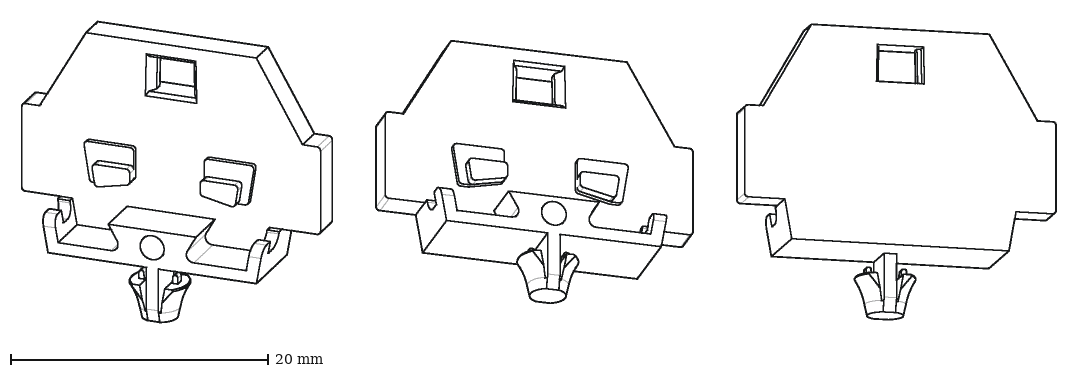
import cadquery as cq
import math

plate_width = 25.0
plate_thickness = 2.5
plate_bottom_z = 7.75
shoulder_z = 15.1
top_z = 21.8
shoulder_x = 11.0
roof_angle = 60.0
plate_corner_radius = 0.3
roof_x = shoulder_x - (top_z - shoulder_z) / math.tan(math.radians(roof_angle))

window_bottom_z = 17.25
window_top_z = 20.78
window_front_half = 2.15
window_throat_half = 1.6
window_back_half = 1.92
window_side_draft = 0.08
window_taper_depth = 0.98
window_step_depth = 1.68
window_sill_chamfer = 0.3

pad_height = 0.45
nub_height = 1.3
pad_top_z = 12.9
nub_top_z = 11.42
pad_bottom_z = 9.52
pad_inner_x = 2.95
pad_outer_x = 7.15
nub_outer_x = 6.15
pad_slope_start_x = 5.72
pad_side_lean = 9.0
pad_slope_angle = 12.5
pad_corner_radius = 0.3

shelf_depth = 4.0
shelf_bottom_z = 4.6
shelf_top_x = 9.28
shelf_side_lean = 10.0
shelf_wall = 1.02
pocket_floor_z = 5.58
dovetail_top_x = 3.68
dovetail_angle = 60.0
dovetail_radius = 0.6
blind_hole_diameter = 2.0
blind_hole_z = 6.32
blind_hole_depth = shelf_depth

wall_top_z = 7.62
wall_nose_radius = 0.82
notch_start = 0.55
notch_end = 2.4
notch_floor_z = 6.6
notch_radius = 0.98

post_half_x = 0.5
post_width_y = 3.32
post_y = -shelf_depth + post_width_y / 2
post_taper_z = 1.12
post_tip_width_y = 2.6
clip_tip_radius = 1.42
clip_waist_radius = 1.62
clip_waist_z = 0.9
flare_mid_radius = 1.92
flare_mid_z = 1.98
rim_radius = 2.4
rim_z = 2.9
rim_top_radius = 2.32
arm_top_z = 3.02
slot_bottom_z = 0.85
slot_bottom_half = 0.65
slot_top_half = 1.05
tab_outer_x = 1.62
tab_inner_x = 1.15
tab_lean = 0.088
tab_top_z = 3.72
tab_width_y = 0.72
tab_tip_radius = 0.18


def mirrored(solid):
    """The solid together with its mirror image across X = 0."""
    return solid.union(solid.mirror("YZ"))


def lean_offset(height, angle):
    """Sideways shift of a wall that leans by angle from vertical."""
    return height * math.tan(math.radians(angle))


def extrude_along_y(points, y_start, y_end):
    """Prism with an XZ outline, reaching from y_start to y_end."""
    plane = cq.Workplane("XZ", origin=(0, y_end, 0))
    return plane.polyline(points).close().extrude(y_end - y_start)


def make_plate():
    half = plate_width / 2
    right = [(half, plate_bottom_z), (half, shoulder_z), (shoulder_x, shoulder_z), (roof_x, top_z)]
    left = [(-x, z) for x, z in reversed(right)]
    plate = extrude_along_y(right + left, 0, plate_thickness)
    return plate.edges("|Y and (<X or >X)").fillet(plate_corner_radius)


def window_plan(inset):
    """Plan outline of the window sides, each side moved inward by inset."""
    right = [
        (window_front_half - inset, 0),
        (window_throat_half - inset, window_taper_depth),
        (window_throat_half - inset, window_step_depth),
        (window_back_half - inset, window_step_depth),
        (window_back_half - inset, plate_thickness),
    ]
    return right + [(-x, y) for x, y in reversed(right)]


def make_window():
    height = window_top_z - window_bottom_z
    sides = (
        cq.Workplane("XY", origin=(0, 0, window_bottom_z))
        .polyline(window_plan(0)).close()
        .workplane(offset=height)
        .polyline(window_plan(window_side_draft)).close()
        .loft(ruled=True)
    )
    inner_bottom = window_bottom_z + window_sill_chamfer
    inner_top = window_top_z - window_sill_chamfer
    profile = [
        (0, window_bottom_z),
        (window_sill_chamfer, inner_bottom),
        (plate_thickness, inner_bottom),
        (plate_thickness, inner_top),
        (window_sill_chamfer, inner_top),
        (0, window_top_z),
    ]
    sill_and_head = cq.Workplane("YZ").polyline(profile).close().extrude(window_front_half, both=True)
    return sides.intersect(sill_and_head)


def pad_block(outer_x, block_top_z, height):
    """Block with a leaning outer side and a bottom that rises toward the middle."""
    bottom_outer_x = outer_x - lean_offset(block_top_z - pad_bottom_z, pad_side_lean)
    slope_rise = (pad_slope_start_x - pad_inner_x) * math.tan(math.radians(pad_slope_angle))
    outline = [(pad_inner_x, block_top_z), (outer_x, block_top_z), (bottom_outer_x, pad_bottom_z)]
    if bottom_outer_x > pad_slope_start_x + pad_corner_radius:
        outline.append((pad_slope_start_x, pad_bottom_z))
    outline.append((pad_inner_x, pad_bottom_z + slope_rise))
    return extrude_along_y(outline, -height, 0)


def make_latch_pads():
    pad = pad_block(pad_outer_x, pad_top_z, pad_height)
    pad_slope_edge = cq.NearestToPointSelector((pad_slope_start_x, -pad_height / 2, pad_bottom_z))
    pad = pad.edges(cq.StringSyntaxSelector("|Y") - pad_slope_edge).fillet(pad_corner_radius)
    nub = pad_block(nub_outer_x, nub_top_z, nub_height)
    nub = nub.edges("|Y").fillet(pad_corner_radius)
    return mirrored(pad.union(nub))


def make_pocket():
    """Pocket between a side wall and the undercut flank of the dovetail."""
    depth = plate_bottom_z - pocket_floor_z
    top_outer_x = shelf_top_x - shelf_wall
    outline = [
        (dovetail_top_x, plate_bottom_z),
        (top_outer_x, plate_bottom_z),
        (top_outer_x - lean_offset(depth, shelf_side_lean), pocket_floor_z),
        (dovetail_top_x - depth / math.tan(math.radians(dovetail_angle)), pocket_floor_z),
    ]
    pocket = extrude_along_y(outline, -shelf_depth, 0)
    return pocket.edges("|Y and <X").fillet(dovetail_radius)


def make_wall_cutter():
    """Space above the notched profile of a side wall, outward from the dovetail."""
    notch_mid = notch_radius * (1 - math.sqrt(0.5))
    nose_mid = wall_nose_radius * (1 - math.sqrt(0.5))
    profile = (
        cq.Workplane("YZ", origin=(dovetail_top_x, 0, 0))
        .moveTo(-notch_start, plate_bottom_z)
        .lineTo(-notch_start, notch_floor_z + notch_radius)
        .threePointArc(
            (-notch_start - notch_mid, notch_floor_z + notch_mid),
            (-notch_start - notch_radius, notch_floor_z),
        )
        .lineTo(-notch_end, notch_floor_z)
        .lineTo(-notch_end, wall_top_z)
        .lineTo(-shelf_depth + wall_nose_radius, wall_top_z)
        .threePointArc(
            (-shelf_depth + nose_mid, wall_top_z - nose_mid),
            (-shelf_depth, wall_top_z - wall_nose_radius),
        )
        .lineTo(-shelf_depth, plate_bottom_z)
        .close()
    )
    return profile.extrude(shelf_top_x - dovetail_top_x)


def make_shelf():
    bottom_x = shelf_top_x - lean_offset(plate_bottom_z - shelf_bottom_z, shelf_side_lean)
    outline = [
        (-bottom_x, shelf_bottom_z),
        (bottom_x, shelf_bottom_z),
        (shelf_top_x, plate_bottom_z),
        (-shelf_top_x, plate_bottom_z),
    ]
    hole = (
        cq.Workplane("XZ", origin=(0, -shelf_depth, blind_hole_z))
        .circle(blind_hole_diameter / 2)
        .extrude(-blind_hole_depth)
    )
    shelf = extrude_along_y(outline, -shelf_depth, plate_thickness)
    return shelf.cut(mirrored(make_pocket())).cut(mirrored(make_wall_cutter())).cut(hole)


def make_post():
    half = post_width_y / 2
    tip_half = post_tip_width_y / 2
    outline = [
        (post_y - tip_half, 0),
        (post_y + tip_half, 0),
        (post_y + half, post_taper_z),
        (post_y + half, shelf_bottom_z),
        (post_y - half, shelf_bottom_z),
        (post_y - half, post_taper_z),
    ]
    return cq.Workplane("YZ").polyline(outline).close().extrude(post_half_x, both=True)


def make_arms():
    """Flared body of revolution, trimmed to the post width and split by the slots."""
    flare = (
        cq.Workplane("XZ")
        .moveTo(0, 0)
        .lineTo(clip_tip_radius, 0)
        .lineTo(clip_waist_radius, clip_waist_z)
        .threePointArc((flare_mid_radius, flare_mid_z), (rim_radius, rim_z))
        .lineTo(rim_top_radius, arm_top_z)
        .lineTo(0, arm_top_z)
        .close()
        .revolve(360, (0, 0, 0), (0, 1, 0))
        .translate((0, post_y, 0))
    )
    trim = cq.Workplane("XY", origin=(0, post_y, 0)).rect(2 * rim_radius, post_width_y).extrude(arm_top_z)
    gap = extrude_along_y(
        [
            (-slot_bottom_half, slot_bottom_z),
            (slot_bottom_half, slot_bottom_z),
            (slot_top_half, arm_top_z),
            (-slot_top_half, arm_top_z),
        ],
        post_y - rim_radius,
        post_y + rim_radius,
    )
    post_strip = (
        cq.Workplane("XY", origin=(0, post_y, 0))
        .rect(2 * post_half_x, 2 * rim_radius)
        .extrude(arm_top_z)
    )
    return flare.intersect(trim).cut(gap).cut(post_strip)


def make_tabs():
    tab = extrude_along_y(
        [
            (tab_inner_x, rim_z),
            (tab_outer_x, rim_z),
            (tab_outer_x, tab_top_z),
            (tab_inner_x + tab_lean, tab_top_z),
        ],
        post_y - tab_width_y / 2,
        post_y + tab_width_y / 2,
    )
    return mirrored(tab.edges("|Y and >Z").fillet(tab_tip_radius))


result = (
    make_plate()
    .cut(make_window())
    .union(make_latch_pads())
    .union(make_shelf())
    .union(make_post())
    .union(make_arms())
    .union(make_tabs())
)